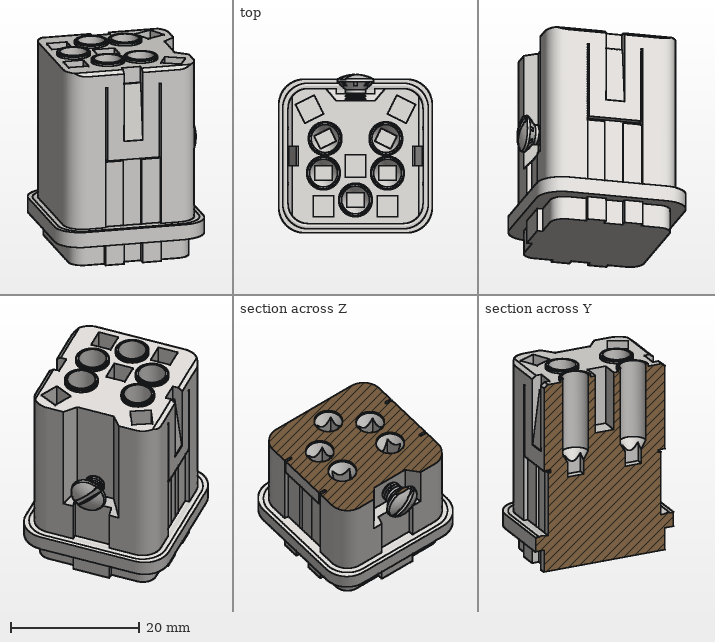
import cadquery as cq
import math

total_height = 32.0
body_top = 31.52
flange_top = 6.1
flange_bottom = 3.68

body_size = 21.05
body_half = body_size / 2
flange_size = 24.0
foot_size = 19.35
foot_half = foot_size / 2
corner_center = 7.42
flange_corner_radius = 4.05

bead_inner = 10.27
bead_peak = 10.9
bead_outer = 11.35
bead_height = 0.13
bead_bulge = 0.03

bevel_width = 0.67
bevel_height = 0.5

channel_half_width = 1.5
panel_half_width = 4.48
channel_depth = 1.15
panel_depth = 0.7
panel_top = 16.65
slot_top = 28.95
slot_width = 0.3
slot_floor_height = 0.4
ramp_bottom = 20.0
ramp_top = slot_top
ramp_bottom_depth = 0.1
ramp_top_depth = 1.28
ramp_back_depth = 1.6

screw_height = 16.93
recess_mouth_half_width = 4.65
recess_back_half_width = 3.05
recess_back = 8.65
recess_floor_back = 14.72
recess_floor_front = 12.8

head_crown = 12.75
head_rim_outer = 12.03
head_rim_inner = 11.6
head_neck = 10.37
shank_end = 9.82
thread_end = 8.32
head_radius = 2.88
head_rim_radius = 2.75
shank_radius = 1.57
thread_root_radius = 1.35
thread_pitch = 0.48
thread_count = 2
head_rib_count = 8
head_rib_width = 0.5
head_rib_start = 10.95
head_rib_rise = 0.05
driver_slot_width = 0.9
driver_slot_floor = 11.9
driver_slot_turn = 45

tilt = 26.5
upper_socket = (4.75, 2.72)
lower_socket = (5.0, -2.65)
sockets = [
    (-upper_socket[0], upper_socket[1], tilt),
    (upper_socket[0], upper_socket[1], -tilt),
    (-lower_socket[0], lower_socket[1], 0),
    (lower_socket[0], lower_socket[1], 0),
    (0, -6.85, 0),
]
socket_outer_radius = 2.62
socket_bore_radius = 2.18
socket_rim_chamfer = 0.15
socket_bore_depth = 12.8
socket_cone_depth = 1.92
socket_tip_radius = 1.1
socket_bottom_depth = 3.85
socket_bottom_length = 2.75
socket_bottom_width = 2.25

pocket_depth = 9.6
square_pocket = 3.25
pockets = [
    (-7.17, 7.3, square_pocket, square_pocket, tilt),
    (7.17, 7.3, square_pocket, square_pocket, -tilt),
    (-lower_socket[0], -7.8, square_pocket, square_pocket, 0),
    (lower_socket[0], -7.8, square_pocket, square_pocket, 0),
    (0, -1.57, 3.15, 3.5, 0),
]


def rounded_block(size, radius, bottom, top):
    block = cq.Workplane("XY").workplane(offset=bottom).rect(size, size).extrude(top - bottom)
    return block.edges("|Z").fillet(radius)


def box_between(x0, x1, y0, y1, z0, z1):
    return cq.Workplane("XY").box(x1 - x0, y1 - y0, z1 - z0, centered=False).translate((x0, y0, z0))


def make_bead():
    """Ridge with a rounded outer flank, swept around the body."""
    body_slice = rounded_block(
        body_size, body_half - corner_center, flange_top, flange_top + bead_height
    )
    path = body_slice.faces("<Z").wires()
    profile = (
        cq.Workplane("XZ")
        .moveTo(bead_inner, flange_top)
        .lineTo(bead_peak, flange_top + bead_height)
        .sagittaArc((bead_outer, flange_top), bead_bulge)
        .close()
    )
    return profile.sweep(path)


def make_latch_cut():
    """Everything removed from the -X side."""
    face = -body_half
    channel = box_between(
        face, face + channel_depth, -channel_half_width, channel_half_width, flange_top, panel_top
    )
    panel = box_between(
        face, face + panel_depth, -panel_half_width, panel_half_width, flange_top, panel_top
    )
    slot_bottom = box_between(
        face, face + channel_depth, -panel_half_width, panel_half_width,
        panel_top, panel_top + slot_floor_height,
    )
    cut = channel.union(panel).union(slot_bottom)
    for start in (-panel_half_width, panel_half_width - slot_width):
        cut = cut.union(
            box_between(face, face + channel_depth, start, start + slot_width, panel_top, slot_top)
        )
    ramp = (
        cq.Workplane("XZ", origin=(0, channel_half_width, 0))
        .moveTo(face, ramp_bottom)
        .lineTo(face + ramp_bottom_depth, ramp_bottom)
        .lineTo(face + ramp_top_depth, ramp_top)
        .lineTo(face + ramp_back_depth, ramp_top)
        .lineTo(face + ramp_back_depth, body_top)
        .lineTo(face, body_top)
        .close()
        .extrude(2 * channel_half_width)
    )
    bevel = (
        cq.Workplane("XZ", origin=(0, body_half, 0))
        .moveTo(face, body_top - bevel_height)
        .lineTo(face + bevel_width, body_top)
        .lineTo(face, body_top)
        .close()
        .extrude(body_size)
    )
    return cut.union(ramp).union(bevel)


def make_screw_recess():
    funnel = (
        cq.Workplane("XY")
        .moveTo(-recess_mouth_half_width, body_half)
        .lineTo(-recess_back_half_width, recess_back)
        .lineTo(recess_back_half_width, recess_back)
        .lineTo(recess_mouth_half_width, body_half)
        .close()
        .extrude(body_top)
    )
    above_floor = (
        cq.Workplane("YZ", origin=(-body_half, 0, 0))
        .moveTo(recess_back, recess_floor_back)
        .lineTo(body_half, recess_floor_front)
        .lineTo(body_half, body_top)
        .lineTo(recess_back, body_top)
        .close()
        .extrude(body_size)
    )
    channel = box_between(
        -recess_back_half_width, recess_back_half_width, foot_half, body_half, flange_top, body_top
    )
    return funnel.intersect(above_floor).union(channel)


def make_screw():
    """Screw along +Y, turned as a half profile about its axis."""
    rim_rise = head_crown - head_rim_outer
    crown_radius = (head_rim_radius**2 + rim_rise**2) / (2 * rim_rise)
    mid_radius = head_rim_radius / 2
    mid_crown = head_crown - crown_radius + math.sqrt(crown_radius**2 - mid_radius**2)
    profile = (
        cq.Workplane("XY")
        .moveTo(0, head_crown)
        .threePointArc((mid_radius, mid_crown), (head_rim_radius, head_rim_outer))
        .lineTo(head_radius, head_rim_inner)
        .lineTo(shank_radius, head_neck)
        .lineTo(shank_radius, shank_end)
    )
    for turn in range(thread_count):
        start = shank_end - turn * thread_pitch
        profile = profile.lineTo(thread_root_radius, start - thread_pitch / 2)
        profile = profile.lineTo(shank_radius, start - thread_pitch)
    profile = profile.lineTo(thread_root_radius, thread_end).lineTo(0, thread_end).close()
    screw = profile.revolve(360, (0, 0, 0), (0, 1, 0))

    cone_slope = (head_radius - shank_radius) / (head_rim_inner - head_neck)
    rib_foot = shank_radius + cone_slope * (head_rib_start - head_neck)
    rib = (
        cq.Workplane("XY", origin=(0, 0, -head_rib_width / 2))
        .moveTo(shank_radius, head_rib_start)
        .lineTo(rib_foot + head_rib_rise, head_rib_start)
        .lineTo(head_radius, head_rim_inner)
        .lineTo(shank_radius, head_rim_inner)
        .close()
        .extrude(head_rib_width)
    )
    for index in range(head_rib_count):
        screw = screw.union(rib.rotate((0, 0, 0), (0, 1, 0), index * 360 / head_rib_count))

    driver_slot = box_between(
        -head_radius, head_radius, driver_slot_floor, head_crown,
        -driver_slot_width / 2, driver_slot_width / 2,
    )
    screw = screw.cut(driver_slot.rotate((0, 0, 0), (0, 1, 0), driver_slot_turn))
    return screw.translate((0, 0, screw_height))


def make_socket_ring(x, y):
    ring = cq.Workplane("XY", origin=(x, y, body_top))
    ring = ring.circle(socket_outer_radius).extrude(total_height - body_top)
    return ring.faces(">Z").edges().chamfer(socket_rim_chamfer)


def make_socket_bore(x, y, turn):
    """Round bore with a conical bottom that a rectangular pocket opens further."""
    cone_top = total_height - socket_bore_depth
    bore = (
        cq.Workplane("XZ")
        .moveTo(0, total_height)
        .lineTo(socket_bore_radius, total_height)
        .lineTo(socket_bore_radius, cone_top)
        .lineTo(socket_tip_radius, cone_top - socket_cone_depth)
        .lineTo(0, cone_top - socket_cone_depth)
        .close()
        .revolve(360, (0, 0, 0), (0, 1, 0))
    )
    bottom = cq.Workplane("XY", origin=(0, 0, cone_top))
    bottom = bottom.rect(socket_bottom_length, socket_bottom_width).extrude(-socket_bottom_depth)
    return bore.union(bottom).rotate((0, 0, 0), (0, 0, 1), turn).translate((x, y, 0))


def make_pocket(x, y, length, width, turn):
    pocket = cq.Workplane("XY").box(length, width, pocket_depth, centered=(True, True, False))
    pocket = pocket.rotate((0, 0, 0), (0, 0, 1), turn)
    return pocket.translate((x, y, body_top - pocket_depth))


foot = rounded_block(foot_size, foot_half - corner_center, 0, flange_bottom)
flange = rounded_block(flange_size, flange_corner_radius, flange_bottom, flange_top)
body = rounded_block(body_size, body_half - corner_center, flange_top, body_top)

latch_cut = make_latch_cut()
body = body.cut(latch_cut).cut(latch_cut.mirror("YZ")).cut(make_screw_recess())

for start in (-panel_half_width, channel_half_width):
    end = start + panel_half_width - channel_half_width
    foot = foot.union(box_between(-body_half, body_half, start, end, 0, flange_bottom))
foot = foot.union(
    box_between(-recess_back_half_width, recess_back_half_width, 0, body_half, 0, flange_bottom)
)

foot_channel = box_between(
    -body_half, channel_depth - body_half, -channel_half_width, channel_half_width, 0, flange_bottom
)
foot = foot.cut(foot_channel).cut(foot_channel.mirror("YZ"))

housing = foot.union(flange).union(body).union(make_bead())

flange_slot = box_between(
    panel_depth - body_half, channel_depth - body_half,
    -channel_half_width, channel_half_width, flange_bottom, panel_top,
)
housing = housing.cut(flange_slot).cut(flange_slot.mirror("YZ"))

housing = housing.union(make_screw())

for x, y, turn in sockets:
    housing = housing.union(make_socket_ring(x, y))
for x, y, turn in sockets:
    housing = housing.cut(make_socket_bore(x, y, turn))
for x, y, length, width, turn in pockets:
    housing = housing.cut(make_pocket(x, y, length, width, turn))

result = housing